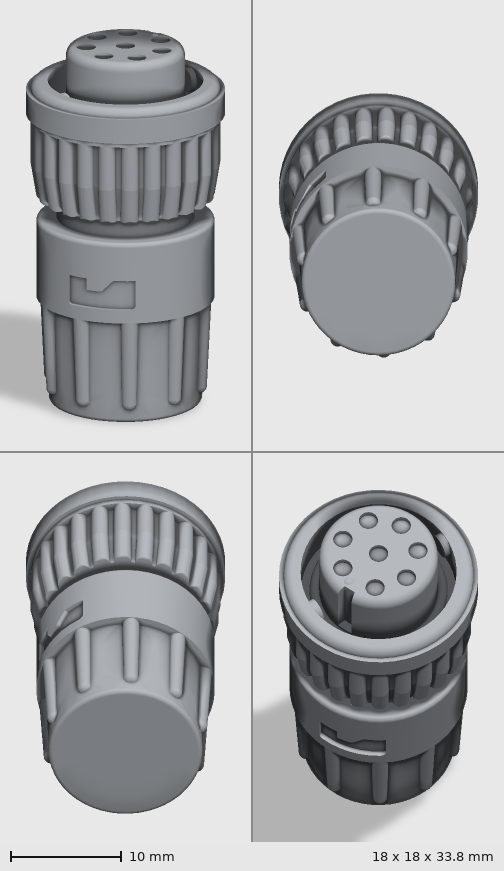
import cadquery as cq
import math

total_height = 33.8
pip_height = 0.12
nose_top = total_height - pip_height
collar_top = 30.4
ledge_height = 29.6
collar_bottom = 27.3
knurl_top = 26.8
well_floor = 26.65
knurl_break = 22.7
nut_bottom = 19.4
sleeve_top = 17.45
sleeve_bottom = 9.86
rib_bottom = 1.25

collar_radius = 9.015
neck_radius = 8.6
bore_radius = 7.05
knurl_crest_radius = neck_radius
knurl_taper = 0.55
knurl_depth = 0.7
knurl_corner = 0.25
ridge_count = 24
ridge_radius = 0.8
ridge_phase = -84

nose_radius = 5.37
nose_fillet = 0.8
body_radius = 6.26
ring_squeeze = 0.04
ring_section_radius = (body_radius - nose_radius + ring_squeeze) / 2
ring_center_radius = body_radius - ring_section_radius
ring_height = well_floor + ring_section_radius - ring_squeeze
contact_radius = 0.87
contact_depth = 0.55
contact_circle_radius = 3.57
outer_contact_count = 7
contact_step = 50
first_contact_angle = -90
keyway_outer_width = 1.5
keyway_inner_width = 1.12
keyway_inner_y = 4.56
keyway_bottom = ring_height + ring_section_radius
pip_x = 0.58
pip_y = 3.95
pip_base_radius = 0.38

first_pin_angle = 66
pin_angles = (first_pin_angle, first_pin_angle + 180)
pin_radius = 1.1
pin_inner_reach = 6.4
pin_top = 30.3

sleeve_radius = 8.07
sleeve_fillet = 0.4
first_window_angle = -73.3
window_angles = (first_window_angle, first_window_angle + 180)
window_depth = 0.45
window_half_width = 3.15
window_bottom = 11.12
window_top = 13.9
tooth_bottom = 12.8
tooth_left = -1.32
tooth_right = 0.1
window_left_corner = 0.25
window_right_corner = 0.5
tooth_corner = 0.4

grip_top_radius = 7.25
grip_bottom_radius = 6.93
grip_fillet = 0.4
rib_count = 10
rib_phase = -90
rib_top_radius = 0.8
rib_bottom_radius = 0.65
rib_top_center = 7.2
rib_bottom_center = 6.92
rib_end_rounding = 0.58


def disc(radius, bottom, top):
    """Upright cylinder on the connector axis."""
    return cq.Workplane("XY").workplane(offset=bottom).circle(radius).extrude(top - bottom)


def about_axis(solid, angle):
    """Turn a feature made at +X to the given angle around Z."""
    return solid.rotate((0, 0, 0), (0, 0, 1), angle)


def leaning_cone(bottom_radius, bottom_center, bottom, top_radius, top_center, top):
    """Round bar at +X whose lower and upper ends sit at different distances from the axis."""
    return (
        cq.Workplane("XY", origin=(bottom_center, 0, bottom)).circle(bottom_radius)
        .workplane(offset=top - bottom).center(top_center - bottom_center, 0).circle(top_radius)
        .loft(ruled=True, combine=True)
    )


def make_collar():
    """Plain upper part of the nut with a rounded rim above a narrow ledge."""
    rim = disc(neck_radius, knurl_top, collar_top)
    rim = rim.faces(">Z").edges().fillet(collar_top - ledge_height)
    return rim.union(disc(collar_radius, collar_bottom, ledge_height))


def tapered_drum(radius):
    """Drum of the given radius that narrows below the knurl break."""
    return (
        cq.Workplane("XZ")
        .polyline([
            (0, nut_bottom),
            (radius - knurl_taper, nut_bottom),
            (radius, knurl_break),
            (radius, knurl_top),
            (0, knurl_top),
        ])
        .close().revolve(360, (0, 0, 0), (0, 1, 0))
    )


def make_ridge():
    """Round ridge at +X, mitred where it turns from upright to leaning inward.

    The leaning part runs to twice its final length, for trimming at the nut bottom.
    """
    center = knurl_crest_radius - ridge_radius
    path = cq.Workplane("XZ").polyline([
        (center, knurl_top),
        (center, knurl_break),
        (center - 2 * knurl_taper, knurl_break - 2 * (knurl_break - nut_bottom)),
    ])
    return (
        cq.Workplane("XY", origin=(center, 0, knurl_top))
        .circle(ridge_radius).sweep(path, transition="right")
    )


def make_knurl():
    """Lower part of the nut: a ring of round ridges trimmed to a drum with a rounded bottom corner."""
    knurl = tapered_drum(knurl_crest_radius - knurl_depth)
    ridge = make_ridge()
    for i in range(ridge_count):
        knurl = knurl.union(about_axis(ridge, ridge_phase + i * 360 / ridge_count))
    envelope = tapered_drum(knurl_crest_radius).faces("<Z").edges().fillet(knurl_corner)
    return knurl.intersect(envelope)


def make_pin():
    """Radial bayonet pin at +X, buried in the nut wall."""
    wall_middle = (bore_radius + neck_radius) / 2
    return (
        cq.Workplane("YZ", origin=(pin_inner_reach, 0, pin_top - pin_radius))
        .circle(pin_radius).extrude(wall_middle - pin_inner_reach)
    )


def make_nut():
    """Coupling nut with its open well and two bayonet pins."""
    nut = make_collar().union(make_knurl())
    nut = nut.cut(disc(bore_radius, well_floor, collar_top))
    for angle in pin_angles:
        nut = nut.union(about_axis(make_pin(), angle))
    return nut


def make_keyway():
    """Trapezoidal groove down the +Y side of the nose."""
    return (
        cq.Workplane("XY", origin=(0, 0, keyway_bottom))
        .polyline([
            (-keyway_inner_width / 2, keyway_inner_y),
            (keyway_inner_width / 2, keyway_inner_y),
            (keyway_outer_width / 2, nose_radius),
            (-keyway_outer_width / 2, nose_radius),
        ])
        .close().extrude(nose_top - keyway_bottom)
    )


def make_contacts():
    """Contact holes: one central, the rest on a circle with a wider gap at the keyway."""
    points = [(0, 0)]
    for i in range(outer_contact_count):
        angle = math.radians(first_contact_angle + (i - outer_contact_count // 2) * contact_step)
        points.append((contact_circle_radius * math.cos(angle), contact_circle_radius * math.sin(angle)))
    return (
        cq.Workplane("XY", origin=(0, 0, nose_top - contact_depth))
        .pushPoints(points).circle(contact_radius).extrude(contact_depth)
    )


def make_pip():
    """Shallow spherical pip marking the first contact."""
    sphere_radius = (pip_base_radius**2 + pip_height**2) / (2 * pip_height)
    center = (pip_x, pip_y, total_height - sphere_radius)
    return cq.Workplane("XY").sphere(sphere_radius).translate(center)


def make_sealing_ring():
    """Round-section ring lying on the well floor and lightly squeezed against the nose."""
    return (
        cq.Workplane("XZ", origin=(ring_center_radius, 0, ring_height))
        .circle(ring_section_radius)
        .revolve(360, (-ring_center_radius, 0, 0), (-ring_center_radius, 1, 0))
    )


def make_insert():
    """Central plug body: shaft through the nut, and the nose with a round sealing ring at its foot."""
    nose = disc(nose_radius, well_floor, nose_top).faces(">Z").edges().fillet(nose_fillet)
    insert = disc(body_radius, sleeve_top, well_floor).union(nose).union(make_sealing_ring())
    return insert.cut(make_keyway()).cut(make_contacts()).union(make_pip())


def make_window():
    """Bayonet window at +X: a pocket with one tooth hanging from its upper edge."""
    ramp_top = tooth_right + window_top - tooth_bottom
    pocket = (
        cq.Workplane("YZ")
        .polyline([
            (-window_half_width, window_bottom),
            (window_half_width, window_bottom),
            (window_half_width, window_top),
            (ramp_top, window_top),
            (tooth_right, tooth_bottom),
            (tooth_left, tooth_bottom),
            (tooth_left, window_top),
            (-window_half_width, window_top),
        ])
        .close().extrude(collar_radius)
    )

    def corner(y, z):
        return cq.selectors.NearestToPointSelector((collar_radius / 2, y, z))

    pocket = pocket.edges("|X").edges(corner(-window_half_width, window_bottom)).fillet(window_left_corner)
    pocket = pocket.edges("|X").edges(corner(window_half_width, window_bottom)).fillet(window_right_corner)
    pocket = pocket.edges("|X").edges(corner(tooth_right, tooth_bottom)).fillet(tooth_corner)
    return pocket.cut(disc(sleeve_radius - window_depth, sleeve_bottom, sleeve_top))


def make_sleeve():
    """Smooth sleeve with a rounded top edge and two opposite windows."""
    sleeve = disc(sleeve_radius, sleeve_bottom, sleeve_top)
    sleeve = sleeve.faces(">Z").edges().fillet(sleeve_fillet)
    for angle in window_angles:
        sleeve = sleeve.cut(about_axis(make_window(), angle))
    return sleeve


def make_grip():
    """Tapered grip with leaning ribs that stop in rounded ends above its foot."""
    grip = (
        cq.Workplane("XY").circle(grip_bottom_radius)
        .workplane(offset=sleeve_bottom).circle(grip_top_radius).loft(ruled=True, combine=True)
    )
    grip = grip.faces("<Z").edges().fillet(grip_fillet)
    rib = leaning_cone(
        rib_bottom_radius, rib_bottom_center, rib_bottom,
        rib_top_radius, rib_top_center, sleeve_bottom,
    )
    rib = rib.faces("<Z").edges().fillet(rib_end_rounding)
    for i in range(rib_count):
        grip = grip.union(about_axis(rib, rib_phase + i * 360 / rib_count))
    return grip


result = make_grip().union(make_sleeve()).union(make_insert()).union(make_nut())